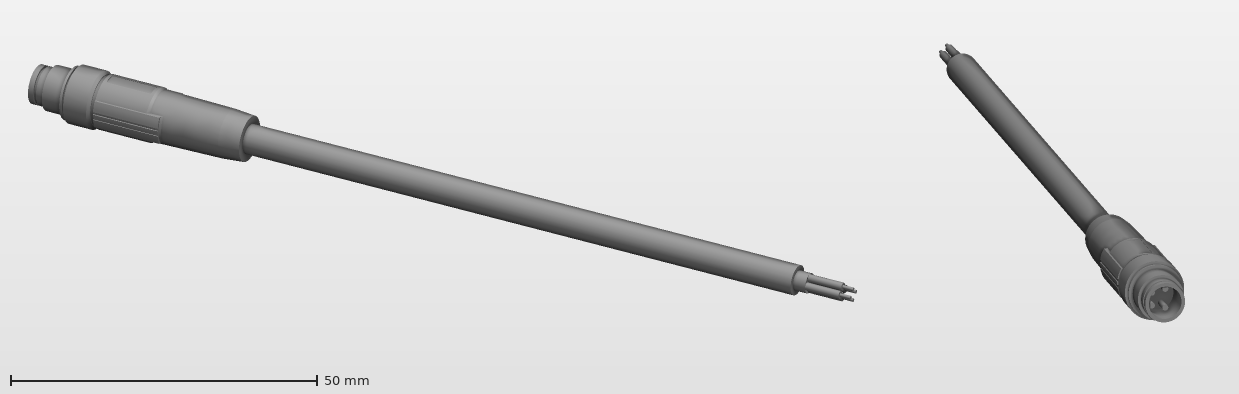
import cadquery as cq
import math

overall_length = 148.7
nose_lip_end = 0.95
nose_groove_end = 1.45
nose_end = 2.8
neck_end = 6.3
flange_end = 6.7
collar_start = 7.2
collar_end = 11.4
collar_chamfer = 0.5
grip_start = 12.6
grip_end = 21.9
side_grip_end = 24.4
end_taper_length = 0.5
sleeve_end = 35.0
connector_end = 38.7
jacket_end = 138.5
core_end = 140.7
insulation_end = 146.8
start_x = -overall_length / 2

collar_radius = 5.0
flange_radius = 4.6
collar_groove_radius = 4.2
neck_radius = 3.9
nose_radius = 3.35
nose_groove_radius = 3.0
relief_radius = 4.35
grip_radius = 4.7
sleeve_front_radius = 4.42
sleeve_rear_radius = 4.2
tail_radius = 3.9
jacket_radius = 2.55
core_radius = 1.7

socket_radius = 2.75
socket_depth = 5.5
pin_radius = 0.5
pin_recess = 2.5
pin_embed = 0.5
pin_centers = [(1.6, 1.1), (1.6, -1.1), (-0.65, 1.6), (-0.65, -1.6)]

side_grip_reach = 4.96
side_grip_width = 5.0
side_groove_width = 0.45
side_groove_depth = 0.2
side_groove_offset = 0.5
side_grip_end_height = 4.6
side_grip_end_radius = 4.3

window_length = 8.1
window_width = 2.3
window_depth = 0.2
window_start = 13.2

wire_radius = 0.68
wire_circle_radius = core_radius - wire_radius
conductor_radius = 0.3
wire_count = 4
wire_embed = 0.5


def rod(start, end, radius, y=0.0, z=0.0):
    """Cylinder along X between two distances from the mating end."""
    return (
        cq.Workplane("YZ", origin=(start_x + start, y, z))
        .circle(radius)
        .extrude(end - start)
    )


def block(start, end, y_range, z_range):
    """Axis-aligned box given by its limits."""
    size = (end - start, y_range[1] - y_range[0], z_range[1] - z_range[0])
    corner = (start_x + start, y_range[0], z_range[0])
    return cq.Workplane("XY").box(*size, centered=False).translate(corner)


def revolve_profile(profile):
    """Solid of revolution about X from (distance, radius) points."""
    points = [(start_x + x, radius) for x, radius in profile]
    return cq.Workplane("XY").polyline(points).close().revolve(axisStart=(0, 0, 0), axisEnd=(1, 0, 0))


def make_turned_body():
    """Connector, cable jacket and core as one revolved outline."""
    profile = [
        (0, 0),
        (0, nose_radius),
        (nose_lip_end, nose_radius),
        (nose_lip_end, nose_groove_radius),
        (nose_groove_end, nose_groove_radius),
        (nose_groove_end, nose_radius),
        (nose_end, nose_radius),
        (nose_end, neck_radius),
        (neck_end, neck_radius),
        (neck_end, flange_radius),
        (flange_end, flange_radius),
        (flange_end, collar_groove_radius),
        (collar_start, collar_groove_radius),
        (collar_start, collar_radius),
        (collar_end, collar_radius),
        (collar_end + collar_chamfer, collar_radius - collar_chamfer),
        (collar_end + collar_chamfer, relief_radius),
        (grip_start, relief_radius),
        (grip_start, grip_radius),
        (grip_end, grip_radius),
        (grip_end + end_taper_length, sleeve_front_radius),
        (sleeve_end, sleeve_rear_radius),
        (connector_end, tail_radius),
        (connector_end, jacket_radius),
        (jacket_end, jacket_radius),
        (jacket_end, core_radius),
        (core_end, core_radius),
        (core_end, 0),
    ]
    return revolve_profile(profile)


def make_side_grips():
    """Raised pads on both sides, each with two lengthwise grooves and a tapered rear end."""
    pad_end = side_grip_end + end_taper_length
    profile = [
        (grip_start, 0),
        (grip_start, side_grip_reach),
        (side_grip_end, side_grip_reach),
        (side_grip_end, side_grip_end_height),
        (pad_end, side_grip_end_radius),
        (pad_end, 0),
    ]
    half_width = side_grip_width / 2
    reach = (-side_grip_reach, side_grip_reach)
    pads = revolve_profile(profile)
    pads = pads.intersect(block(grip_start, pad_end, reach, (-half_width, half_width)))
    floor = side_grip_reach - side_groove_depth
    for z in (-side_groove_offset, side_groove_offset):
        z_range = (z - side_groove_width / 2, z + side_groove_width / 2)
        for y_range in ((floor, side_grip_reach), (-side_grip_reach, -floor)):
            pads = pads.cut(block(grip_start, side_grip_end, y_range, z_range))
    return pads


def cut_windows(body):
    """Shallow rectangular recesses on the top and bottom of the grip."""
    half_width = window_width / 2
    floor = grip_radius - window_depth
    for z_range in ((floor, grip_radius), (-grip_radius, -floor)):
        recess = block(window_start, window_start + window_length, (-half_width, half_width), z_range)
        body = body.cut(recess)
    return body


def add_socket(body):
    """Round socket in the nose with contact pins standing on its floor."""
    body = body.cut(rod(0, socket_depth, socket_radius))
    for y, z in pin_centers:
        body = body.union(rod(pin_recess, socket_depth + pin_embed, pin_radius, y, z))
    return body


def add_wires(body):
    """Insulated wires with bare conductor ends."""
    for index in range(wire_count):
        angle = 2 * math.pi * index / wire_count
        y = wire_circle_radius * math.cos(angle)
        z = wire_circle_radius * math.sin(angle)
        body = body.union(rod(core_end - wire_embed, insulation_end, wire_radius, y, z))
        body = body.union(rod(insulation_end - wire_embed, overall_length, conductor_radius, y, z))
    return body


result = make_turned_body().union(make_side_grips())
result = cut_windows(result)
result = add_socket(result)
result = add_wires(result)